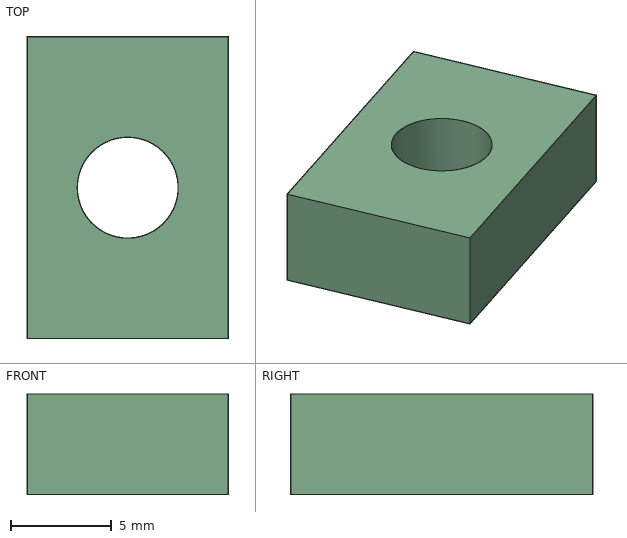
import cadquery as cq

width = 10.0
length = 15.0
thickness = 5.0
hole_diameter = 5.0

block = cq.Workplane("XY").box(width, length, thickness)

result = block.faces(">Z").workplane().hole(hole_diameter)